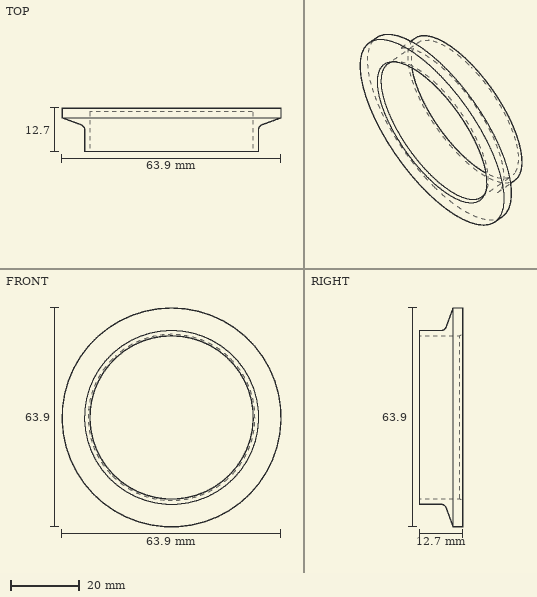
import cadquery as cq
import math

flange_radius = 31.95
tube_outer_radius = 25.4
bore_radius = 23.8
total_length = 12.7
rim_thickness = 2.9
cone_angle = 20.0
neck_fillet = 1.6
bore_chamfer_length = 1.0
bore_chamfer_width = 0.5

tube_end_y = 0.0
flange_face_y = tube_end_y + total_length
rim_front_y = flange_face_y - rim_thickness
chamfer_start_y = flange_face_y - bore_chamfer_length

cone_length = (flange_radius - tube_outer_radius) * math.tan(math.radians(cone_angle))
cone_tip_y = rim_front_y - cone_length

tangent_length = neck_fillet * math.tan(math.radians(90.0 - cone_angle) / 2)
fillet_tube_y = cone_tip_y - tangent_length
fillet_cone_radius = tube_outer_radius + tangent_length * math.cos(math.radians(cone_angle))
fillet_cone_y = cone_tip_y + tangent_length * math.sin(math.radians(cone_angle))

half_section = (
    cq.Workplane("YZ")
    .moveTo(tube_end_y, bore_radius)
    .lineTo(tube_end_y, tube_outer_radius)
    .lineTo(fillet_tube_y, tube_outer_radius)
    .tangentArcPoint((fillet_cone_y, fillet_cone_radius), relative=False)
    .lineTo(rim_front_y, flange_radius)
    .lineTo(flange_face_y, flange_radius)
    .lineTo(flange_face_y, bore_radius + bore_chamfer_width)
    .lineTo(chamfer_start_y, bore_radius)
    .close()
)

result = half_section.revolve(360, (0, 0), (1, 0))